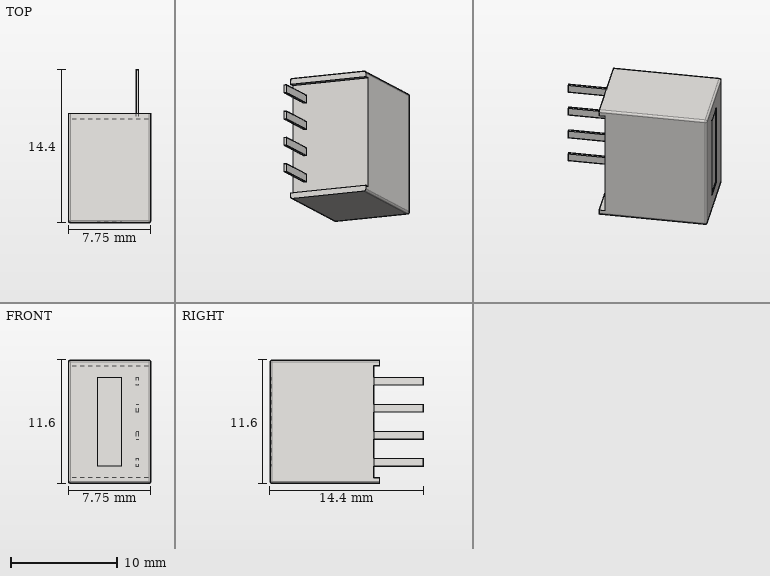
import cadquery as cq

housing_width = 7.75
housing_depth = 10.3
housing_height = 11.6
edge_radius = 0.2

foot_length = 0.55
foot_thickness = 0.55

panel_width = 2.25
panel_height = 8.3
panel_depth = 0.1

pin_count = 4
pin_pitch = 2.54
pin_thickness = 0.25
pin_height = 0.75
pin_edge_offset = 1.27
overall_depth = 14.4

front_y = -housing_depth
pin_root_y = -foot_length
pin_tip_y = overall_depth - housing_depth
pin_length = pin_tip_y - pin_root_y
pin_x = housing_width / 2 - pin_edge_offset


def block(size_x, size_y, size_z, start_y):
    """Box centred on X and Z that runs from start_y towards +Y."""
    return (
        cq.Workplane("XY")
        .box(size_x, size_y, size_z, centered=(True, False, True))
        .translate((0, start_y, 0))
    )


def make_housing():
    body = block(housing_width, housing_depth, housing_height, front_y)
    body = body.edges("not(>Y)").fillet(edge_radius)

    step_height = housing_height - 2 * foot_thickness
    rear_step = block(housing_width, foot_length, step_height, pin_root_y)
    panel = block(panel_width, panel_depth, panel_height, front_y)
    return body.cut(rear_step).cut(panel).solids()


def make_pin(center_z):
    """Straight flat pin that stands on the floor of the rear step."""
    pin = block(pin_thickness, pin_length, pin_height, pin_root_y)
    return pin.translate((pin_x, 0, center_z))


housing = make_housing()

pins = []
for index in range(pin_count):
    pin_z = (index - (pin_count - 1) / 2) * pin_pitch
    pins.append(make_pin(pin_z))

result = cq.Compound.makeCompound([housing.val(), *[pin.val() for pin in pins]])